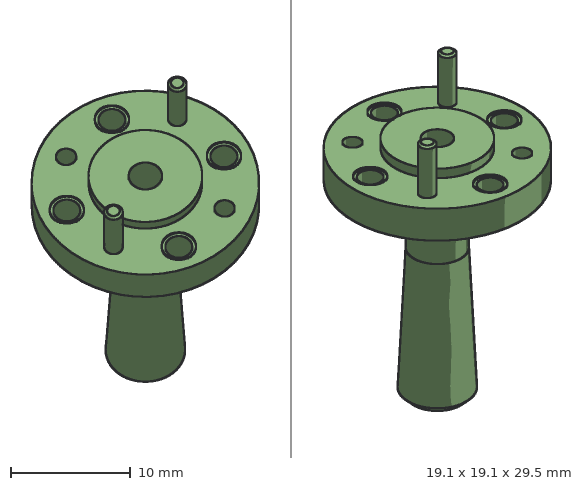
import cadquery as cq
import math

flange_diameter = 19.05
flange_thickness = 3.175
boss_diameter = 9.525
boss_height = 0.94

bolt_circle_radius = 7.144
screw_hole_diameter = 2.26
screw_recess_diameter = 2.87
screw_recess_depth = 0.125
dowel_hole_diameter = 1.70
pin_diameter = 1.567
pin_height = 5.08
pin_tip_chamfer_height = 0.2
pin_tip_chamfer_inset = 0.25

bore_diameter = 2.794
stem_length = 21.285
neck_diameter = 5.3
neck_length = 6.68
root_fillet_radius = 0.254
cone_top_diameter = 5.334
cone_end_diameter = 6.68
end_chamfer = 0.75

flange_bottom = -flange_thickness
neck_bottom = flange_bottom - neck_length
stem_bottom = flange_bottom - stem_length


def bolt_circle_points(angles):
    """Points on the bolt circle at the given angles in degrees."""
    return [
        (
            bolt_circle_radius * math.cos(math.radians(angle)),
            bolt_circle_radius * math.sin(math.radians(angle)),
        )
        for angle in angles
    ]


screw_points = bolt_circle_points([0, 90, 180, 270])
dowel_hole_points = bolt_circle_points([45, 225])
pin_points = bolt_circle_points([135, 315])


def make_body():
    """Flange, boss and stem as one revolved profile around Z."""
    flange_radius = flange_diameter / 2
    boss_radius = boss_diameter / 2
    neck_radius = neck_diameter / 2
    cone_end_radius = cone_end_diameter / 2
    fillet_offset = root_fillet_radius * (1 - math.sqrt(0.5))
    fillet_middle = (neck_radius + fillet_offset, flange_bottom - fillet_offset)
    fillet_end = (neck_radius, flange_bottom - root_fillet_radius)
    return (
        cq.Workplane("XZ")
        .moveTo(0, boss_height)
        .lineTo(boss_radius, boss_height)
        .lineTo(boss_radius, 0)
        .lineTo(flange_radius, 0)
        .lineTo(flange_radius, flange_bottom)
        .lineTo(neck_radius + root_fillet_radius, flange_bottom)
        .threePointArc(fillet_middle, fillet_end)
        .lineTo(neck_radius, neck_bottom)
        .lineTo(cone_top_diameter / 2, neck_bottom)
        .lineTo(cone_end_radius, stem_bottom + end_chamfer)
        .lineTo(cone_end_radius - end_chamfer, stem_bottom)
        .lineTo(0, stem_bottom)
        .close()
        .revolve(360, (0, 0, 0), (0, 1, 0))
    )


def make_pins():
    """Dowel pins fixed through the flange, with chamfered tips."""
    return (
        cq.Workplane("XY", origin=(0, 0, flange_bottom))
        .pushPoints(pin_points)
        .circle(pin_diameter / 2)
        .extrude(flange_thickness + pin_height)
        .faces(">Z")
        .chamfer(pin_tip_chamfer_height, pin_tip_chamfer_inset)
    )


def make_cylinders(points, diameter, top, bottom):
    """Vertical cylinders at the given points, from top down to bottom."""
    return (
        cq.Workplane("XY", origin=(0, 0, bottom))
        .pushPoints(points)
        .circle(diameter / 2)
        .extrude(top - bottom)
    )


bore = make_cylinders([(0, 0)], bore_diameter, boss_height, stem_bottom)
screw_holes = make_cylinders(screw_points, screw_hole_diameter, 0, flange_bottom)
screw_recesses = make_cylinders(screw_points, screw_recess_diameter, 0, -screw_recess_depth)
dowel_holes = make_cylinders(dowel_hole_points, dowel_hole_diameter, 0, flange_bottom)

result = (
    make_body()
    .union(make_pins())
    .cut(bore)
    .cut(screw_holes)
    .cut(screw_recesses)
    .cut(dowel_holes)
)